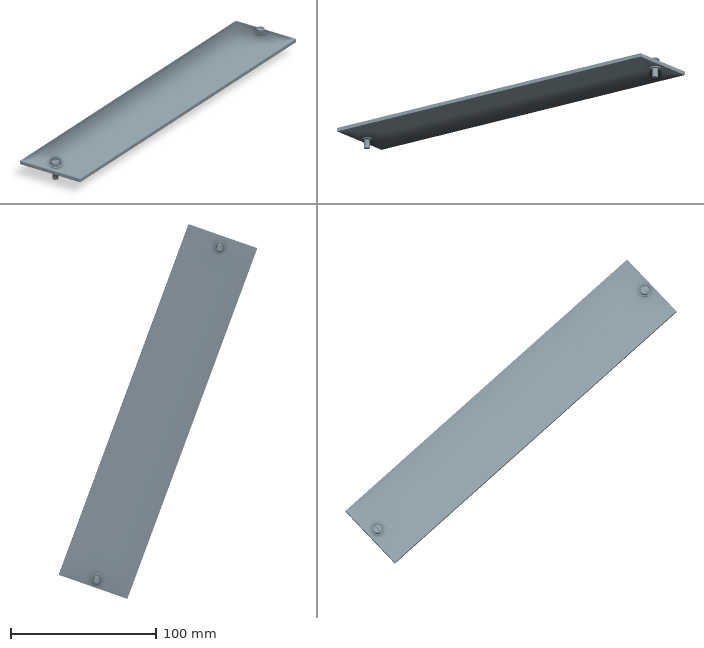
import cadquery as cq

PANEL_WIDTH = 50.0
PANEL_LENGTH = 263.7
PANEL_THICKNESS = 2.5

SCREW_SPACING = 250.5
WASHER_DIAMETER = 7.5
WASHER_THICKNESS = 0.8
COLLAR_DIAMETER = 5.5
COLLAR_HEIGHT = 1.5
HEAD_DIAMETER = 5.8
HEAD_HEIGHT = 1.71
HEAD_RIM_RADIUS = 0.5
SLOT_WIDTH = 0.8
SLOT_DEPTH = 1.0
SHANK_DIAMETER = 4.0
TOTAL_HEIGHT = 13.5

washer_top = PANEL_THICKNESS + WASHER_THICKNESS
collar_top = washer_top + COLLAR_HEIGHT
head_top = collar_top + HEAD_HEIGHT
shank_bottom = head_top - TOTAL_HEIGHT


def cylinder(diameter, bottom, top):
    """Upright cylinder on the Z axis between two heights."""
    return cq.Workplane("XY").workplane(offset=bottom).circle(diameter / 2).extrude(top - bottom)


def make_panel():
    return cq.Workplane("XY").box(
        PANEL_WIDTH, PANEL_LENGTH, PANEL_THICKNESS, centered=(True, True, False)
    )


def make_head():
    """Round head with a rounded rim and a driver slot along X."""
    head = cylinder(HEAD_DIAMETER, collar_top, head_top).faces(">Z").edges().fillet(HEAD_RIM_RADIUS)
    slot = (
        cq.Workplane("XY")
        .workplane(offset=head_top - SLOT_DEPTH)
        .rect(HEAD_DIAMETER, SLOT_WIDTH)
        .extrude(SLOT_DEPTH)
    )
    return head.cut(slot)


def make_screw():
    """Screw on a narrower collar, with one washer above the panel and one below it."""
    washers = cylinder(WASHER_DIAMETER, -WASHER_THICKNESS, washer_top)
    shank = cylinder(SHANK_DIAMETER, shank_bottom, washer_top)
    collar = cylinder(COLLAR_DIAMETER, washer_top, collar_top)
    return shank.union(washers).union(collar).union(make_head())


result = make_panel()
screw = make_screw()
for side in (-1, 1):
    result = result.union(screw.translate((0, side * SCREW_SPACING / 2, 0)))